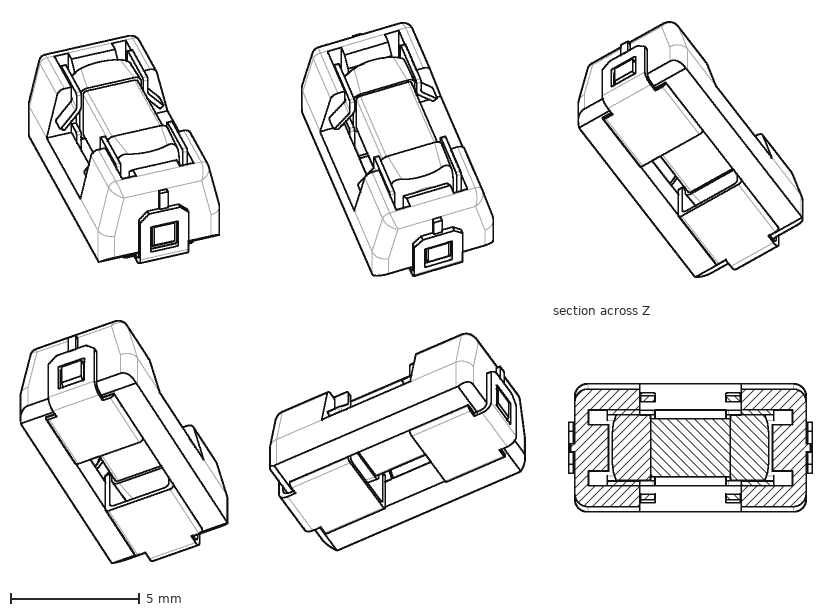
import cadquery as cq
import math


overall_length = 9.5
sheet = 0.19

housing_length = 9.025
housing_width = 5.0
housing_top = 4.01
slope_start = 1.72
side_lean = 12.0
end_radius = 0.5
side_radius = 0.3
bottom_chamfer = 0.4
cavity_length = 7.94
cavity_width = 2.945
gap_length = 3.95
block_length = 0.78
block_width = 1.805
block_chamfer = 0.4
rib_width = 0.33
rib_bottom = 2.66
rib_top = 3.46
rib_reach = 0.17
latch_width = 0.85
latch_bottom = 0.74
latch_top = 1.86
latch_reach = 0.23
latch_bevel = 0.22

leg_width = 1.995
leg_top = 2.6
leg_chamfer = 0.35
bend_outer_radius = 0.4
bend_inner_radius = 0.3
window_width = 1.13
window_bottom = 0.665
window_top = 1.92
window_radius = 0.06
base_outer = 4.0
clip_inner = 1.38
base_edge_radius = 0.15
arm_outer = 3.25
arm_top = 4.13
arm_corner = 0.095
arm_root_radius = 0.2
slot_outer = 1.98
slot_bottom = 2.15
tab_outer = 1.95
tab_hinge = 3.44
tab_angle = 39.0
tab_bend_radius = 0.24
tab_length = 0.99
tab_corner = 0.08

fuse_size = 2.28
fuse_edge_radius = 0.15
cap_size = 2.55
cap_inner = 1.56
cap_outer = 3.05
cap_open_radius = 0.3
cap_end_radius = 0.49
dome_flat_radius = 0.665
dome_radius = 1.425

half_length = housing_length / 2
half_width = housing_width / 2
half_cavity = cavity_length / 2
arm_face = cavity_width / 2
fuse_height = housing_top - fuse_size / 2


def block(x_range, y_range, z_range):
    """A box between the given limits."""
    size = [high - low for low, high in (x_range, y_range, z_range)]
    corner = (x_range[0], y_range[0], z_range[0])
    return cq.Workplane("XY").box(*size, centered=False).translate(corner)


def both_ends(end_feature):
    """The feature at -X together with its mirror image at +X."""
    return end_feature.union(end_feature.mirror("YZ"))


def housing_shell():
    """Outside of the housing with its rounded edges and bevelled bottom ends."""
    top_half_width = half_width - (housing_top - slope_start) * math.tan(math.radians(side_lean))
    shell = (
        cq.Workplane("YZ")
        .polyline([
            (-half_width, sheet), (half_width, sheet), (half_width, slope_start),
            (top_half_width, housing_top), (-top_half_width, housing_top), (-half_width, slope_start),
        ])
        .close()
        .extrude(half_length, both=True)
    )
    shell = shell.faces("<X or >X").edges("not <Z").fillet(end_radius)
    shell = shell.faces(">Z").edges("|X").fillet(side_radius)
    bevel = (
        cq.Workplane("XZ")
        .polyline([
            (-half_length, sheet), (-half_length + bottom_chamfer, sheet),
            (-half_length, sheet + bottom_chamfer),
        ])
        .close()
        .extrude(half_width, both=True)
    )
    return shell.cut(both_ends(bevel))


def end_block():
    """Block on the inside of the -X end wall, bevelled toward the fuse."""
    limits = (-half_cavity, -half_cavity + block_length)
    stop = block(limits, (-block_width / 2, block_width / 2), (sheet, housing_top))
    return stop.edges(">X and >Z").chamfer(block_chamfer)


def end_rib():
    """Upright rib on the outside of the -X end."""
    return block(
        (-half_length - rib_reach, -half_length), (-rib_width / 2, rib_width / 2), (rib_bottom, rib_top)
    )


def end_latch():
    """Bevelled lug on the -X end that sits in the clip window."""
    lug = block(
        (-half_length - latch_reach, -half_length), (-latch_width / 2, latch_width / 2),
        (latch_bottom, latch_top),
    )
    return lug.edges("<X and <Z").chamfer(latch_bevel)


def make_housing():
    body = housing_shell()
    cavity = block((-half_cavity, half_cavity), (-arm_face, arm_face), (0, housing_top))
    side_gap = block((-gap_length / 2, gap_length / 2), (-half_width, half_width), (slope_start, housing_top))
    body = body.cut(cavity).cut(side_gap)
    for end_feature in (end_block(), end_rib(), end_latch()):
        body = body.union(both_ends(end_feature))
    return body


def clip_base():
    """Wide base under the fuse, with rounded lower side edges."""
    base = block((-base_outer, -clip_inner), (-arm_face, arm_face), (0, sheet))
    return base.edges("|X and <Z").fillet(base_edge_radius)


def clip_leg():
    """Strip that runs out from the base and bends up along the housing end."""
    outer = overall_length / 2
    leg = (
        cq.Workplane("XZ")
        .polyline([
            (-base_outer, 0), (-outer, 0), (-outer, leg_top),
            (-outer + sheet, leg_top), (-outer + sheet, sheet), (-base_outer, sheet),
        ])
        .close()
        .extrude(leg_width / 2, both=True)
    )
    leg = leg.edges("|Y and <X and <Z").fillet(bend_outer_radius)
    inner_corner = cq.selectors.NearestToPointSelector((-outer + sheet, 0, sheet))
    leg = leg.edges(inner_corner).fillet(bend_inner_radius)
    leg = leg.edges("|X and >Z").chamfer(leg_chamfer)
    window = block(
        (-outer, -outer + sheet), (-window_width / 2, window_width / 2), (window_bottom, window_top)
    )
    return leg.cut(window.edges("|X").fillet(window_radius))


def clip_arm():
    """Arm at -Y with its slot, its root rounded into the base.

    It starts just above the rounded lower edge of the base.
    """
    inside = -arm_face + sheet
    arm = block((-arm_outer, -clip_inner), (-arm_face, inside), (base_edge_radius, arm_top))
    arm = arm.edges("|Y and >Z").fillet(arm_corner)
    slot = block((-slot_outer, -clip_inner), (-arm_face, inside), (slot_bottom, tab_hinge))
    arm = arm.cut(slot)
    lower_corner = cq.selectors.NearestToPointSelector((-clip_inner, inside - sheet / 2, slot_bottom))
    arm = arm.edges(lower_corner).fillet(arm_corner)
    root = (
        cq.Workplane("YZ", origin=(-arm_outer, 0, 0))
        .moveTo(inside, sheet)
        .lineTo(inside + arm_root_radius, sheet)
        .radiusArc((inside, sheet + arm_root_radius), arm_root_radius)
        .close()
        .extrude(arm_outer - clip_inner)
    )
    return arm.union(root)


def clip_tab():
    """Tab bent outward from the upper edge of the slot in the -Y arm."""
    lean = math.radians(tab_angle)
    center_y = -arm_face - tab_bend_radius

    def bend_point(radius, angle):
        return center_y + radius * math.cos(angle), tab_hinge - radius * math.sin(angle)

    def along_tab(point):
        return point[0] - tab_length * math.sin(lean), point[1] - tab_length * math.cos(lean)

    outside = tab_bend_radius
    inside = tab_bend_radius + sheet
    tab = (
        cq.Workplane("YZ", origin=(-tab_outer, 0, 0))
        .moveTo(*bend_point(outside, 0))
        .threePointArc(bend_point(outside, lean / 2), bend_point(outside, lean))
        .lineTo(*along_tab(bend_point(outside, lean)))
        .lineTo(*along_tab(bend_point(inside, lean)))
        .lineTo(*bend_point(inside, lean))
        .threePointArc(bend_point(inside, lean / 2), bend_point(inside, 0))
        .close()
        .extrude(tab_outer - clip_inner)
    )
    end_face = tab.faces(cq.selectors.NearestToPointSelector((
        -(clip_inner + tab_outer) / 2,
        *along_tab(bend_point(tab_bend_radius + sheet / 2, lean)),
    )))
    return end_face.edges("not |X").fillet(tab_corner)


def make_clip():
    """Clip at the -X end."""
    side = clip_arm().union(clip_tab())
    return clip_base().union(clip_leg()).union(side).union(side.mirror("XZ"))


def make_fuse_body():
    body = cq.Workplane("YZ").rect(fuse_size, fuse_size).extrude(cap_inner, both=True)
    return body.edges("|X").fillet(fuse_edge_radius).translate((0, 0, fuse_height))


def make_cap():
    """Cap at the -X end: edges that round off more toward a domed closed end."""
    open_end = cq.Sketch().rect(cap_size, cap_size).vertices().fillet(cap_open_radius)
    closed_end = cq.Sketch().rect(cap_size, cap_size).vertices().fillet(cap_end_radius)
    length = cap_outer - cap_inner
    sleeve = (
        cq.Workplane("YZ")
        .placeSketch(closed_end, open_end.moved(cq.Location(cq.Vector(0, 0, length))))
        .loft(ruled=True)
    )
    dome = (
        cq.Workplane("XY")
        .lineTo(0, dome_flat_radius)
        .radiusArc((dome_radius, dome_flat_radius + dome_radius), dome_radius)
        .lineTo(length, dome_flat_radius + dome_radius)
        .lineTo(length, 0)
        .close()
        .revolve(360, (0, 0, 0), (1, 0, 0))
    )
    return sleeve.intersect(dome).translate((-cap_outer, 0, fuse_height))


housing = make_housing()
clip = make_clip()
fuse_body = make_fuse_body()
cap = make_cap()

bodies = [housing.val(), fuse_body.val()]
for end_part in (clip, cap):
    bodies.append(end_part.val())
    bodies.append(end_part.mirror("YZ").val())

result = cq.Compound.makeCompound(bodies)